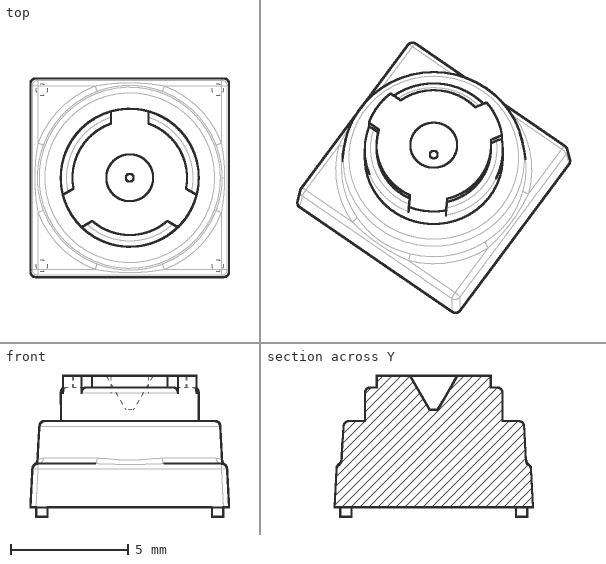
import cadquery as cq
import math

base_side = 8.5
base_height = 1.87
draft_angle = 3.0
edge_radius = 0.25

barrel_top_z = 3.7
barrel_top_radius = 3.86

collar_radius = 2.95
ledge_z = 5.13
rim_radius = 2.45
top_z = 5.63
tab_width = 1.6
tab_angles = (90, 210, 330)

lens_radius = 1.0
lens_floor_radius = 0.17
lens_depth = 1.445

pin_radius = 0.25
pin_offset = 3.76
pin_length = 0.4


def cylinder(radius, bottom_z, height):
    return cq.Workplane("XY").workplane(offset=bottom_z).circle(radius).extrude(height)


def make_base():
    block = cq.Workplane("XY").rect(base_side, base_side).extrude(base_height, taper=draft_angle)
    block = block.edges("not(#Z)").fillet(edge_radius)
    return block.faces(">Z").edges().fillet(edge_radius)


def make_barrel():
    """Drafted barrel, standing on the bottom plane and rounded at its top."""
    foot_radius = barrel_top_radius + barrel_top_z * math.tan(math.radians(draft_angle))
    barrel = cq.Workplane("XY").circle(foot_radius).extrude(barrel_top_z, taper=draft_angle)
    return barrel.faces(">Z").edges().fillet(edge_radius)


def make_collar():
    """Rounded ledge, raised rim, and tabs reaching from the rim to the outer wall."""
    ledge = cylinder(collar_radius, barrel_top_z, ledge_z - barrel_top_z)
    ledge = ledge.faces(">Z").edges().fillet(edge_radius)
    rim = cylinder(rim_radius, barrel_top_z, top_z - barrel_top_z)
    envelope = cylinder(collar_radius, barrel_top_z, top_z - barrel_top_z)
    collar = ledge.union(rim)
    for angle in tab_angles:
        tab = (
            cq.Workplane("XY")
            .workplane(offset=barrel_top_z)
            .center(collar_radius / 2, 0)
            .rect(collar_radius, tab_width)
            .extrude(top_z - barrel_top_z)
            .rotate((0, 0, 0), (0, 0, 1), angle)
        )
        collar = collar.union(tab.intersect(envelope))
    return collar


def make_lens_opening():
    mouth = cq.Vector(0, 0, top_z)
    downward = cq.Vector(0, 0, -1)
    cone = cq.Solid.makeCone(lens_radius, lens_floor_radius, lens_depth, pnt=mouth, dir=downward)
    return cq.Workplane(cone)


def make_pins():
    spacing = 2 * pin_offset
    centers = cq.Workplane("XY").rect(spacing, spacing, forConstruction=True).vertices()
    return centers.circle(pin_radius).extrude(-pin_length)


def blend_barrel_foot(body):
    """Fillet the curved junction of barrel and base, which dips over the rounded base edges."""
    low = base_height - edge_radius / 2
    high = base_height + edge_radius / 2
    reach = base_side / 2 - edge_radius
    junction_box = cq.selectors.BoxSelector((-reach, -reach, low), (reach, reach, high))
    return body.edges(junction_box).edges("not %LINE").fillet(edge_radius)


body = blend_barrel_foot(make_base().union(make_barrel()))
result = body.union(make_collar()).cut(make_lens_opening()).union(make_pins())